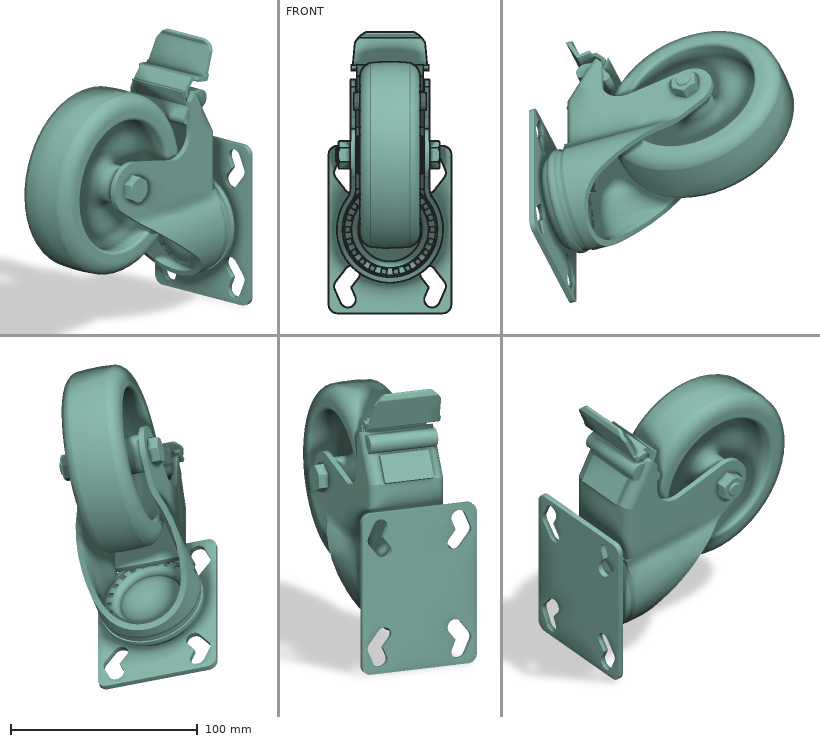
import cadquery as cq
import math


CLEARANCE = 0.5

PLATE_WIDTH = 66
PLATE_HEIGHT = 90
PLATE_THICKNESS = 3
PLATE_CORNER_RADIUS = 5
SLOT_WIDTH = 8.4
SLOT_PATH = [(20.4, 23.6), (25.7, 30.4), (22.6, 37.5)]

DOME_ROOT_RADIUS = 22.5
DOME_BULGE = (4.8, 24.6)
DOME_RIM_RADIUS = 25.7
CROWN_BACK = 7.6
RING_END = 12.8
SKIRT_BACK = 15.8
CROWN_FACE = 16.4
BOSS_RADIUS = 41.2 / 2
DISH_DEPTH = 3.5
HOUSING_RADIUS = 57 / 2
GROOVE_RADIUS = 55.51 / 2
RING_ROUNDING = 3.2
HOUSING_BEVEL_LENGTH = 2
BALL_COUNT = 22
BALL_POCKET_SIZE = 3
BALL_POCKET_DEPTH = 1.5
BALL_CIRCLE_RADIUS = 22.8
RACE_GROOVE_WIDTH = 1
RACE_GROOVE_DEPTH = 1

AXLE_DEPTH = 86.1
AXLE_HEIGHT = 40
WHEEL_RADIUS = 50
WHEEL_HALF_WIDTH = 16.2
TREAD_HALF_WIDTH = 10.7
TREAD_EDGE_RADIUS = 49.4
SHOULDER_RADIUS = 41.7
SHOULDER_BULGE = (14.5, 46.7)
RIM_RADIUS = 36
RIM_LIP_ROUNDING = 1.9
WEB_HALF_THICKNESS = 1.25
WEB_ROUNDING = 5.5
HUB_RADIUS = 10.2
HUB_HALF_WIDTH = 17.7
HUB_CHAMFER = 0.6
BORE_DIAMETER = 12

SHEET = 3
LEG_OUTER = 21.3
LEG_INNER = LEG_OUTER - SHEET
NECK_ROUNDING = 8
NECK_HEIGHT = math.sqrt((HOUSING_RADIUS + NECK_ROUNDING) ** 2 - (LEG_OUTER + NECK_ROUNDING) ** 2)
FORK_END_RADIUS = 14
ARM_TOP_ANGLE = 12.4
ARM_BOTTOM_ANGLE = 34
SKIRT_BEND_DEPTH = 39
SKIRT_FRONT_DEPTH = 22.8
SKIRT_BOTTOM = -HOUSING_RADIUS - CLEARANCE
LEG_FRONT = 37.2
LEG_CORNER_ROUNDING = 13.5
LEG_BEND_HEIGHT = 55.7
LEG_SLOPE = 60
LEG_TOP = 80.5
LEG_TIP_LENGTH = 3.5
LEG_TIP_DROP = 4
BACK_BEND_RADIUS = 4.3

SLEEVE_COLLAR_DIAMETER = 13
HEX_WIDTH = 13
HEX_CHAMFER_DIAMETER = 13.44
NUT_END = 27.7
HEAD_END = 26.7
BOLT_DIAMETER = 8
BOLT_END = 29
BOLT_CHAMFER = 0.6

BRAKE_SHEET = 2.2
PEDAL_PATH = [(17.1, 104.84), (16.4, 102.8), (23.7, 86.1), (29.7, 87)]
ARM_PATH = [(29.7, 87), (32.4, 87.3), (37, 82), (36.2, 79), (34.5, 76.5)]
SPRING_PATH = [(39.7, 82), (36.4, 73)]
SPRING_SHEET = 0.6
ARM_HALF_WIDTH = 17.9
PEDAL_TIP = (12.6, 106)
PEDAL_SHOULDER = (16.5, 103.3)
PEDAL_SIDE_TOP = (18.9, 100)
PEDAL_BASE_HALF_WIDTH = 20
PEDAL_TAB_HALF_WIDTH = 20.8
PEDAL_TAB_TOP = 88.4
CAM_HALF_WIDTH = 19.4
CAM_CENTER = (26.9, 75.4)
CAM_RADIUS = 5
CAM_SHOULDER = (33, 79.5)
NOSE_CENTER = (38.4, 66.6)
NOSE_RADIUS = 2.7
NOSE_FACE_ANGLE = 30
BACK_PAD_HALF_WIDTH = 14
BACK_PAD_THICKNESS = 2.3
BACK_PAD_LENGTH = 15.5

SIDE = cq.Plane(origin=(0, 0, 0), xDir=(0, -1, 0), normal=(-1, 0, 0))


def front(depth):
    """Sketch plane across the swivel axis; extrusions run on towards -Y."""
    return cq.Workplane("XZ", origin=(0, -depth, 0))


def polar(center, radius, degrees):
    angle = math.radians(degrees)
    return (center[0] + radius * math.cos(angle), center[1] + radius * math.sin(angle))


def axle_rod(diameter, start, end):
    """Cylinder on the wheel axis between two X positions."""
    return (
        cq.Workplane("YZ", origin=(start, -AXLE_DEPTH, AXLE_HEIGHT))
        .circle(diameter / 2).extrude(end - start)
    )


def bent_strip(path, thickness, half_width):
    """Sheet that follows a side path, with rounded bends and ends."""
    strip = None
    for start, end in zip(path, path[1:]):
        length = math.dist(start, end)
        angle = math.degrees(math.atan2(end[1] - start[1], end[0] - start[0]))
        middle = ((start[0] + end[0]) / 2, (start[1] + end[1]) / 2)
        piece = (
            cq.Workplane(SIDE).center(*middle)
            .slot2D(length + thickness, thickness, angle)
            .extrude(half_width, both=True)
        )
        strip = piece if strip is None else strip.union(piece)
    return strip


def mounting_slot(x_side, z_side):
    slot = None
    points = [(x_side * x, z_side * z) for x, z in SLOT_PATH]
    for start, end in zip(points, points[1:]):
        angle = math.degrees(math.atan2(end[1] - start[1], end[0] - start[0]))
        leg = (
            front(0).center((start[0] + end[0]) / 2, (start[1] + end[1]) / 2)
            .slot2D(math.dist(start, end) + SLOT_WIDTH, SLOT_WIDTH, angle)
            .extrude(PLATE_THICKNESS)
        )
        slot = leg if slot is None else slot.union(leg)
    return slot


def make_mounting_plate():
    plate = (
        front(0).rect(PLATE_WIDTH, PLATE_HEIGHT).extrude(PLATE_THICKNESS)
        .edges("|Y").fillet(PLATE_CORNER_RADIUS)
    )
    head = (
        cq.Workplane(SIDE)
        .moveTo(PLATE_THICKNESS, 0)
        .lineTo(PLATE_THICKNESS, DOME_ROOT_RADIUS)
        .threePointArc(DOME_BULGE, (CROWN_BACK, DOME_RIM_RADIUS))
        .lineTo(CROWN_BACK, BOSS_RADIUS)
        .lineTo(CROWN_FACE, BOSS_RADIUS)
        .radiusArc((CROWN_FACE - DISH_DEPTH, BOSS_RADIUS - DISH_DEPTH), DISH_DEPTH)
        .lineTo(CROWN_FACE - DISH_DEPTH, 0)
        .close()
        .revolve(360, (0, 0, 0), (1, 0, 0))
    )
    plate = plate.union(head)
    for x_side in (-1, 1):
        for z_side in (-1, 1):
            plate = plate.cut(mounting_slot(x_side, z_side))
    return plate


def wheel_sketch():
    """Plane through the axle: local x runs along the axle, local y is the radius."""
    return cq.Workplane("XZ", origin=(0, -AXLE_DEPTH, AXLE_HEIGHT))


def spin_about_axle(profile):
    return profile.close().revolve(360, (0, 0, 0), (1, 0, 0))


def rim_pocket():
    """Ring between hub and rim on the +X side, with a rounded floor and rim lip."""
    rounding_end = WEB_HALF_THICKNESS + WEB_ROUNDING
    floor_offset = WEB_ROUNDING * (1 - math.sqrt(0.5))
    lip_offset = RIM_LIP_ROUNDING * (1 - math.sqrt(0.5))
    profile = (
        wheel_sketch()
        .moveTo(HUB_HALF_WIDTH, HUB_RADIUS)
        .lineTo(rounding_end, HUB_RADIUS)
        .threePointArc(
            (WEB_HALF_THICKNESS + floor_offset, HUB_RADIUS + floor_offset),
            (WEB_HALF_THICKNESS, HUB_RADIUS + WEB_ROUNDING),
        )
        .lineTo(WEB_HALF_THICKNESS, RIM_RADIUS - WEB_ROUNDING)
        .threePointArc(
            (WEB_HALF_THICKNESS + floor_offset, RIM_RADIUS - floor_offset),
            (rounding_end, RIM_RADIUS),
        )
        .lineTo(WHEEL_HALF_WIDTH - RIM_LIP_ROUNDING, RIM_RADIUS)
        .threePointArc(
            (WHEEL_HALF_WIDTH - lip_offset, RIM_RADIUS + lip_offset),
            (WHEEL_HALF_WIDTH, RIM_RADIUS + RIM_LIP_ROUNDING),
        )
        .lineTo(HUB_HALF_WIDTH, RIM_RADIUS + RIM_LIP_ROUNDING)
    )
    return spin_about_axle(profile)


def make_wheel():
    bulge_width, bulge_radius = SHOULDER_BULGE
    tyre = spin_about_axle(
        wheel_sketch()
        .moveTo(-WHEEL_HALF_WIDTH, 0)
        .lineTo(-WHEEL_HALF_WIDTH, SHOULDER_RADIUS)
        .threePointArc((-bulge_width, bulge_radius), (-TREAD_HALF_WIDTH, TREAD_EDGE_RADIUS))
        .threePointArc((0, WHEEL_RADIUS), (TREAD_HALF_WIDTH, TREAD_EDGE_RADIUS))
        .threePointArc((bulge_width, bulge_radius), (WHEEL_HALF_WIDTH, SHOULDER_RADIUS))
        .lineTo(WHEEL_HALF_WIDTH, 0)
    )
    hub = axle_rod(2 * HUB_RADIUS, -HUB_HALF_WIDTH, HUB_HALF_WIDTH).faces("|X").chamfer(HUB_CHAMFER)
    pocket = rim_pocket()
    wheel = tyre.cut(pocket).cut(pocket.mirror("YZ")).union(hub)
    return wheel.cut(axle_rod(BORE_DIAMETER, -HUB_HALF_WIDTH, HUB_HALF_WIDTH))


def fork_side_outline():
    """Side outline of legs and skirt, as a block wider than the housing."""
    axle = (AXLE_DEPTH, AXLE_HEIGHT)
    arm_top = polar(axle, FORK_END_RADIUS, 90 + ARM_TOP_ANGLE)
    arm_tip = polar(axle, FORK_END_RADIUS, 0)
    arm_bottom = polar(axle, FORK_END_RADIUS, ARM_BOTTOM_ANGLE - 90)
    corner_height = arm_top[1] - (arm_top[0] - LEG_FRONT) * math.tan(math.radians(ARM_TOP_ANGLE))
    skirt_run = arm_bottom[0] - SKIRT_BEND_DEPTH
    skirt_height = arm_bottom[1] - skirt_run * math.tan(math.radians(ARM_BOTTOM_ANGLE))
    slope_run = (LEG_TOP - LEG_BEND_HEIGHT) / math.tan(math.radians(LEG_SLOPE))
    tip_back = CROWN_FACE + slope_run
    return (
        cq.Workplane(SIDE)
        .moveTo(SKIRT_BACK, SKIRT_BOTTOM)
        .lineTo(SKIRT_BACK, NECK_HEIGHT)
        .lineTo(CROWN_FACE, NECK_HEIGHT)
        .lineTo(CROWN_FACE, LEG_BEND_HEIGHT)
        .lineTo(tip_back, LEG_TOP)
        .lineTo(tip_back + LEG_TIP_LENGTH, LEG_TOP)
        .lineTo(LEG_FRONT, LEG_TOP - LEG_TIP_DROP)
        .lineTo(LEG_FRONT, corner_height)
        .lineTo(*arm_top)
        .threePointArc(arm_tip, arm_bottom)
        .lineTo(SKIRT_BEND_DEPTH, skirt_height)
        .tangentArcPoint((SKIRT_FRONT_DEPTH, SKIRT_BOTTOM), relative=False)
        .close()
        .extrude(HOUSING_RADIUS + CLEARANCE, both=True)
        .edges(cq.selectors.BoxSelector(
            (-2 * HOUSING_RADIUS, -LEG_FRONT - CLEARANCE, corner_height - CLEARANCE),
            (2 * HOUSING_RADIUS, -LEG_FRONT + CLEARANCE, corner_height + CLEARANCE),
        ))
        .fillet(LEG_CORNER_ROUNDING)
    )


def keyhole(depth, length, inset):
    """Round housing section that necks in to the legs, inset for its inner wall."""
    radius = HOUSING_RADIUS - inset
    half_gap = LEG_OUTER - inset
    neck_center = (LEG_OUTER + NECK_ROUNDING, NECK_HEIGHT)
    neck_angle = math.degrees(math.atan2(NECK_HEIGHT, neck_center[0]))
    neck = polar((0, 0), radius, neck_angle)
    neck_mid = polar(neck_center, NECK_ROUNDING + inset, 180 + neck_angle / 2)
    return (
        front(depth)
        .moveTo(half_gap, NECK_HEIGHT)
        .threePointArc(neck_mid, neck)
        .threePointArc((0, -radius), (-neck[0], neck[1]))
        .threePointArc((-neck_mid[0], neck_mid[1]), (-half_gap, NECK_HEIGHT))
        .close()
        .extrude(length)
    )


def leg_block(half_width, back, bend_radius):
    """Upright block whose back follows the bent sheet, with rounded back edges."""
    sheet_shift = back - CROWN_FACE
    slope = math.radians(LEG_SLOPE)
    bend_height = LEG_BEND_HEIGHT - sheet_shift * math.tan((math.pi / 2 - slope) / 2)
    top = LEG_TOP + SHEET
    top_depth = back + (top - bend_height) / math.tan(slope)
    far = AXLE_DEPTH + 2 * FORK_END_RADIUS
    block = (
        cq.Workplane(SIDE)
        .polyline([
            (back, NECK_HEIGHT),
            (back, bend_height),
            (top_depth, top),
            (far, top),
            (far, NECK_HEIGHT),
        ])
        .close()
        .extrude(half_width, both=True)
    )
    back_edges = cq.selectors.BoxSelector(
        (-2 * half_width, -top_depth + CLEARANCE, NECK_HEIGHT + CLEARANCE),
        (2 * half_width, 0, top - CLEARANCE),
    )
    return block.edges(back_edges).edges("not |X").fillet(bend_radius)


def make_crown():
    """Bearing ring of the fork, with its groove and the ball pockets."""
    crown = (
        front(CROWN_BACK).circle(HOUSING_RADIUS).extrude(RING_END - CROWN_BACK)
        .faces(">Y").edges().fillet(RING_ROUNDING)
    )
    crown = crown.union(front(RING_END).circle(GROOVE_RADIUS).extrude(CROWN_FACE - RING_END))
    crown = crown.cut(front(CROWN_BACK).circle(BOSS_RADIUS).extrude(CROWN_FACE - CROWN_BACK))
    pockets = (
        front(CROWN_FACE - BALL_POCKET_DEPTH)
        .polarArray(BALL_CIRCLE_RADIUS, 0, 360, BALL_COUNT)
        .rect(BALL_POCKET_SIZE, BALL_POCKET_SIZE)
        .extrude(BALL_POCKET_DEPTH)
    )
    race_radius = HOUSING_RADIUS - SHEET
    race_groove = (
        front(CROWN_FACE - RACE_GROOVE_DEPTH)
        .circle(race_radius).circle(race_radius - RACE_GROOVE_WIDTH)
        .extrude(RACE_GROOVE_DEPTH)
    )
    return crown.cut(pockets).cut(race_groove)


def make_frame():
    """Bent sheet of the fork: two legs, back web and round skirt."""
    reach = AXLE_DEPTH + 2 * FORK_END_RADIUS
    outside = keyhole(SKIRT_BACK, reach, 0).union(leg_block(LEG_OUTER, CROWN_FACE, BACK_BEND_RADIUS))
    inside = keyhole(SKIRT_BACK, reach, SHEET).union(
        leg_block(LEG_INNER, CROWN_FACE + SHEET, BACK_BEND_RADIUS - SHEET)
    )
    frame = outside.intersect(fork_side_outline()).cut(inside)
    bevel = (
        cq.Workplane(SIDE)
        .polyline([
            (SKIRT_BACK, GROOVE_RADIUS),
            (SKIRT_BACK, HOUSING_RADIUS + CLEARANCE),
            (SKIRT_BACK + HOUSING_BEVEL_LENGTH, HOUSING_RADIUS + CLEARANCE),
            (SKIRT_BACK + HOUSING_BEVEL_LENGTH, HOUSING_RADIUS),
        ])
        .close()
        .revolve(360, (0, 0, 0), (1, 0, 0))
    )
    below_neck = (
        front(0).center(0, -HOUSING_RADIUS)
        .rect(3 * HOUSING_RADIUS, 3 * HOUSING_RADIUS).extrude(reach)
    )
    return frame.cut(bevel.intersect(below_neck))


def axle_hex(end):
    """Hexagon on one leg, corners up and down, with its outer corners chamfered."""
    direction = math.copysign(1, end)
    base = cq.Workplane("YZ", origin=(direction * LEG_OUTER, -AXLE_DEPTH, AXLE_HEIGHT))
    length = end - direction * LEG_OUTER
    corner_diameter = HEX_WIDTH / math.cos(math.pi / 6)
    hexagon = base.transformed(rotate=(0, 0, 90)).polygon(6, corner_diameter).extrude(length)
    chamfer = (corner_diameter - HEX_CHAMFER_DIAMETER) / 2
    cone = base.circle(corner_diameter / 2).extrude(length)
    cone = cone.faces(">X" if direction > 0 else "<X").chamfer(chamfer)
    return hexagon.intersect(cone)


def make_axle():
    axle = axle_rod(BORE_DIAMETER, -LEG_OUTER, LEG_OUTER)
    for side in (-1, 1):
        axle = axle.union(axle_rod(SLEEVE_COLLAR_DIAMETER, side * HUB_HALF_WIDTH, side * LEG_OUTER))
    bolt = axle_rod(BOLT_DIAMETER, -BOLT_END, 0).faces("<X").chamfer(BOLT_CHAMFER)
    return axle.union(bolt).union(axle_hex(-NUT_END)).union(axle_hex(HEAD_END))


def make_pedal():
    sheet = bent_strip(PEDAL_PATH, BRAKE_SHEET, PEDAL_TAB_HALF_WIDTH)
    half_outline = (
        front(0)
        .moveTo(0, LEG_TOP)
        .lineTo(PEDAL_TAB_HALF_WIDTH, LEG_TOP)
        .lineTo(PEDAL_TAB_HALF_WIDTH, PEDAL_TAB_TOP)
        .lineTo(PEDAL_BASE_HALF_WIDTH, PEDAL_TAB_TOP)
        .lineTo(*PEDAL_SIDE_TOP)
        .threePointArc(PEDAL_SHOULDER, PEDAL_TIP)
        .lineTo(0, PEDAL_TIP[1])
        .close()
        .extrude(AXLE_DEPTH)
    )
    outline = half_outline.union(half_outline.mirror("YZ"))
    return sheet.intersect(outline)


def make_cam():
    face_start = polar(NOSE_CENTER, NOSE_RADIUS, NOSE_FACE_ANGLE)
    nose_tip = polar(NOSE_CENTER, NOSE_RADIUS, -NOSE_FACE_ANGLE)
    nose_bottom = polar(NOSE_CENTER, NOSE_RADIUS, -90)
    return (
        cq.Workplane(SIDE)
        .moveTo(*polar(CAM_CENTER, CAM_RADIUS, 90))
        .lineTo(*CAM_SHOULDER)
        .lineTo(*face_start)
        .threePointArc(nose_tip, nose_bottom)
        .lineTo(*polar(CAM_CENTER, CAM_RADIUS, -90))
        .threePointArc(polar(CAM_CENTER, CAM_RADIUS, 180), polar(CAM_CENTER, CAM_RADIUS, 90))
        .close()
        .extrude(CAM_HALF_WIDTH, both=True)
    )


def make_back_pad():
    """Flat pad on the outside of the sloped web."""
    return (
        cq.Workplane(SIDE).center(CROWN_FACE, LEG_BEND_HEIGHT)
        .transformed(rotate=(0, 0, LEG_SLOPE))
        .rect(BACK_PAD_LENGTH, BACK_PAD_THICKNESS, centered=False)
        .extrude(BACK_PAD_HALF_WIDTH, both=True)
    )


def make_fork():
    fork = make_crown().union(make_frame()).union(make_axle())
    fork = fork.union(make_cam()).union(make_back_pad())
    fork = fork.union(bent_strip(ARM_PATH, BRAKE_SHEET, ARM_HALF_WIDTH))
    fork = fork.union(bent_strip(SPRING_PATH, SPRING_SHEET, ARM_HALF_WIDTH))
    return fork.union(make_pedal())


mounting_plate = make_mounting_plate()
fork = make_fork()
wheel = make_wheel()
bodies = [mounting_plate, fork, wheel]
result = cq.Compound.makeCompound([body.solids().val() for body in bodies])